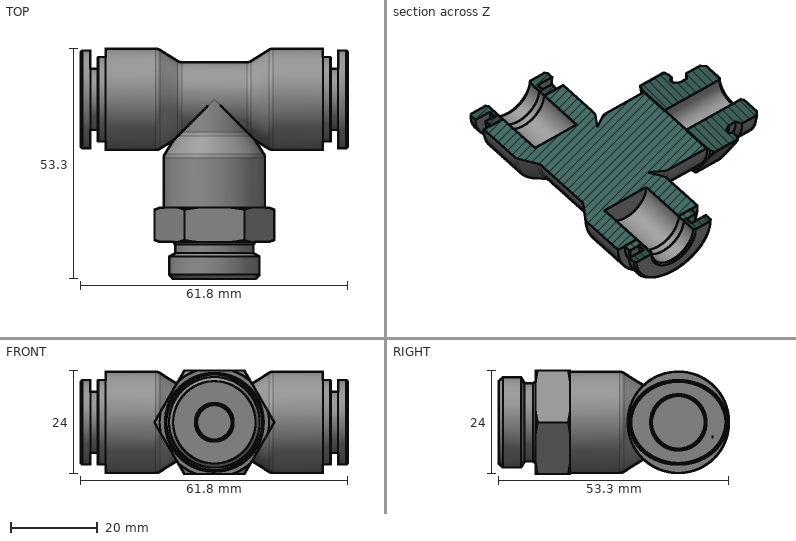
import cadquery as cq
import math

overall_length = 61.8
half_length = overall_length / 2

arm_radius = 23.5 / 2
tube_radius = 17.2 / 2
taper_start = 8.05
taper_end = 13.05
taper_blend = 1.85
side_arm_end = 25.1
front_arm_end = 25.0
socket_floor = taper_end

bore_radius = 12.2 / 2

sleeve_radius = 19.6 / 2
sleeve_length = 1.85
sleeve_edge = 0.2
sleeve_face = side_arm_end + sleeve_length

flange_half_y = 22.6 / 2
flange_half_z = sleeve_radius
flange_thickness = 2.3
flange_edge = 0.45
bore_edge = 0.45
neck_radius = 14.2 / 2
neck_length = half_length - flange_thickness - sleeve_face

stud_end = 41.5
hex_flats = 24.0
hex_sides = 6
hex_corners = hex_flats / math.cos(math.pi / hex_sides)
hex_height = 7.9
hex_end = front_arm_end + hex_height
hex_face_radius = 25.3 / 2
hex_chamfer_height = 0.45
recess_mouth_radius = 22.85 / 2
recess_floor_radius = 22.1 / 2
recess_depth = 0.8
root_radius = 18.2 / 2
root_flare = 0.8
root_flare_projection = 0.6
root_flare_end = hex_end + root_flare_projection
thread_radius = 20.95 / 2
thread_start = 36.35
thread_lead_in = 0.8
thread_tip_length = 1.05
thread_tip_radius = 19.05 / 2
stud_bore_radius = 8.0 / 2
stud_bore_edge = 0.5


def revolved_about_x(points):
    """Solid turned about the X axis from (distance along X, radius) points."""
    return cq.Workplane("XY").polyline(points).close().revolve(360, (0, 0, 0), (1, 0, 0))


def turned_to_front(solid):
    """Turn a shape that lies along +X so that it lies along -Y."""
    return solid.rotate((0, 0, 0), (0, 0, 1), -90)


def make_arm(end):
    """Arm along +X: plain tube, blended taper, full-diameter cylinder."""
    arm = revolved_about_x([
        (0, 0),
        (0, tube_radius),
        (taper_start, tube_radius),
        (taper_end, arm_radius),
        (end, arm_radius),
        (end, 0),
    ])
    reach = arm_radius + taper_blend
    taper_box = cq.selectors.BoxSelector(
        (tube_radius / 2, -reach, -reach),
        (taper_end + taper_blend, reach, reach),
        boundingbox=True,
    )
    return arm.edges(taper_box).edges("%CIRCLE").fillet(taper_blend)


def make_body():
    side_arm = make_arm(side_arm_end)
    body = side_arm.union(side_arm.mirror("YZ")).union(turned_to_front(make_arm(front_arm_end)))
    socket = cq.Workplane("YZ", origin=(socket_floor, 0, 0)).circle(bore_radius)
    socket = socket.extrude(side_arm_end - socket_floor)
    return body.cut(socket).cut(socket.mirror("YZ"))


def make_sleeve():
    """Sleeve on the end of the +X arm."""
    sleeve = cq.Workplane("YZ", origin=(side_arm_end, 0, 0)).circle(sleeve_radius).extrude(sleeve_length)
    sleeve = sleeve.faces(">X").edges().chamfer(sleeve_edge)
    return sleeve.faces(">X").workplane().circle(bore_radius).cutThruAll()


def make_release_ring():
    """Release ring on the +X side: round neck, oval flange, chamfered bore."""
    neck = cq.Workplane("YZ", origin=(sleeve_face, 0, 0)).circle(neck_radius).extrude(neck_length)
    flange = cq.Workplane("YZ", origin=(sleeve_face + neck_length, 0, 0))
    flange = flange.ellipse(flange_half_y, flange_half_z).extrude(flange_thickness)
    flange = flange.faces(">X").edges().chamfer(flange_edge)
    bore = revolved_about_x([
        (sleeve_face, 0),
        (sleeve_face, bore_radius),
        (half_length - bore_edge, bore_radius),
        (half_length, bore_radius + bore_edge),
        (half_length, 0),
    ])
    return neck.union(flange).cut(bore)


def make_stud():
    """Hexagon and thread turned along +X, then swung round to -Y."""
    hexagon = cq.Workplane("YZ", origin=(front_arm_end, 0, 0)).polygon(hex_sides, hex_corners)
    hexagon = hexagon.extrude(hex_height)
    corner_radius = hex_corners / 2
    corner_cone = revolved_about_x([
        (front_arm_end, 0),
        (front_arm_end, hex_face_radius),
        (front_arm_end + hex_chamfer_height, corner_radius),
        (hex_end - hex_chamfer_height, corner_radius),
        (hex_end, hex_face_radius),
        (hex_end, 0),
    ])
    recess = revolved_about_x([
        (hex_end - recess_depth, 0),
        (hex_end - recess_depth, recess_floor_radius),
        (hex_end, recess_mouth_radius),
        (hex_end, 0),
    ])
    thread = revolved_about_x([
        (hex_end - recess_depth, 0),
        (hex_end - recess_depth, root_radius + root_flare),
        (root_flare_end, root_radius),
        (thread_start - thread_lead_in, root_radius),
        (thread_start, thread_radius),
        (stud_end - thread_tip_length, thread_radius),
        (stud_end, thread_tip_radius),
        (stud_end, 0),
    ])
    bore = revolved_about_x([
        (front_arm_end, 0),
        (front_arm_end, stud_bore_radius),
        (stud_end - stud_bore_edge, stud_bore_radius),
        (stud_end, stud_bore_radius + stud_bore_edge),
        (stud_end, 0),
    ])
    return turned_to_front(hexagon.intersect(corner_cone).cut(recess).union(thread).cut(bore))


def both_sides(part):
    """The +X part and its mirror image on the -X side, as two separate solids."""
    return [part.val(), part.mirror("YZ").val()]


body = make_body()
stud = make_stud()
sleeves = both_sides(make_sleeve())
release_rings = both_sides(make_release_ring())

result = cq.Compound.makeCompound([body.val(), stud.val(), *sleeves, *release_rings])